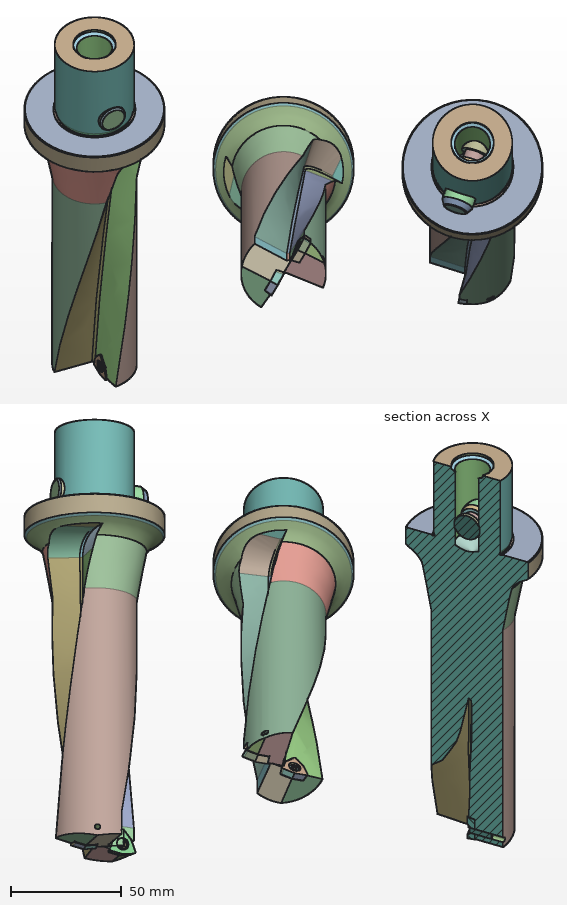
import cadquery as cq
import math


shank_radius = 18.0
shank_height = 40.0
undercut_radius = 17.5
undercut_height = 1.5
face_groove_radius = 18.5
face_groove_depth = 0.5

flange_radius = 31.8
flange_edge_z = -9.2
flange_top_chamfer = 0.5
flange_bottom_chamfer = 1.0
throat_radius = 23.5
throat_z = -17.0
throat_arc_radius = 26.2
throat_arc_z = -13.5
drill_radius = 19.2
cone_end_z = -40.8
tip_z = -160.0

bore_radius = 8.0
bore_mouth_radius = 9.5
bore_mouth_depth = 1.2
bore_mouth_cone_depth = 1.0
bore_depth = 42.0
bore_point_half_angle = 59.0

pin_axis_z = 9.2
pin_joint_x = -0.5
head_pin_end_x = -24.0
head_pin_radius = 7.2
head_pin_face_radius = 5.0
head_pin_face_chamfer = 0.5
head_pin_outer_chamfer_length = 3.0
head_pin_inner_chamfer_length = 2.2
head_pin_inner_radius = 6.5
tip_pin_end_x = 19.2
tip_pin_radius = 6.5
tip_pin_chamfer = 0.8
tip_pin_neck_radius = 4.7
tip_pin_shoulder_x = 3.8

insert_inscribed_radius = 4.8
insert_thickness = 3.8
insert_corner_radius = 0.8
insert_clearance_angle = 7.0
insert_corner_distance = insert_inscribed_radius / math.sin(math.radians(40))
insert_flat_distance = insert_inscribed_radius / math.sin(math.radians(80))
insert_axis_z = tip_z + insert_flat_distance
inner_insert_x = 5.5
outer_insert_x = -13.5

insert_hole_mouth_radius = 2.8
screw_head_radius = 2.2
screw_head_recess = 0.5
screw_head_length = 1.2
screw_radius = 1.2
screw_length = 12.5
screw_socket_width = 2.5
screw_socket_depth = 0.5

end_relief = 0.8
end_slope = math.tan(math.radians(10))

twist_top_z = -22.5
flute_top_z = -12.5
flute_runout_width = 14.0
flute_corner_chamfer = 1.0
twist_stations = 5
runout_step = 15
inner_flute = {
    "wall": (261, 364),
    "floor": (362, 424),
    "corner": (356, 395),
    "depth": (-0.8, 10.0),
    "twist_bottom_z": tip_z,
}
outer_flute = {
    "wall": (109, 191),
    "floor": (181, 241),
    "corner": (175, 215),
    "depth": (6.0, 10.0),
    "twist_bottom_z": -146.8,
}

insert_seats = ((inner_insert_x, 1), (outer_insert_x, -1))

clear = 2.0
outside = 40.0


def polar(radius, degrees):
    return cq.Vector(radius * math.cos(math.radians(degrees)), radius * math.sin(math.radians(degrees)))


def blend(ends, t):
    return ends[0] + (ends[1] - ends[0]) * t


def flute_section(flute, t, shift=0.0):
    """V-shaped flute outline at fraction t of the twist, its wall moved along the floor by shift."""
    corner = polar(blend(flute["depth"], t), blend(flute["corner"], t))
    wall = (polar(drill_radius, blend(flute["wall"], t)) - corner).normalized()
    floor = (polar(drill_radius, blend(flute["floor"], t)) - corner).normalized()
    moved = corner + floor * shift
    return [
        moved + wall * flute_corner_chamfer,
        moved + wall * outside,
        moved + (wall + floor).normalized() * outside * 1.5,
        moved + floor * outside,
        moved + floor * flute_corner_chamfer,
    ]


def section_wire(points, z):
    return cq.Wire.makePolygon([cq.Vector(p.x, p.y, z) for p in points], close=True)


def flute_cutter(flute):
    bottom = flute_section(flute, 0)
    twist_bottom_z = flute["twist_bottom_z"]
    straight = cq.Solid.extrudeLinear(
        section_wire(bottom, tip_z - clear), [], cq.Vector(0, 0, twist_bottom_z - tip_z + clear)
    )
    twist_wires = []
    for station in range(twist_stations):
        t = station / (twist_stations - 1)
        twist_wires.append(section_wire(flute_section(flute, t), blend((twist_bottom_z, twist_top_z), t)))
    twisted = cq.Solid.makeLoft(twist_wires)

    runout_wires = []
    for degrees in range(0, 91, runout_step):
        turn = math.radians(degrees)
        z = blend((twist_top_z, flute_top_z), math.sin(turn))
        t = (z - twist_bottom_z) / (twist_top_z - twist_bottom_z)
        shift = flute_runout_width * (1 - math.cos(turn))
        runout_wires.append(section_wire(flute_section(flute, t, shift), z))
    runout = cq.Solid.makeLoft(runout_wires)
    return [straight, twisted, runout]


def drill_blank():
    chamfer_z = flange_edge_z - flange_bottom_chamfer
    return (
        cq.Workplane("XZ")
        .moveTo(0, shank_height)
        .lineTo(shank_radius, shank_height)
        .lineTo(shank_radius, undercut_height)
        .lineTo(undercut_radius, -face_groove_depth)
        .lineTo(face_groove_radius, -face_groove_depth)
        .lineTo(face_groove_radius, 0)
        .lineTo(flange_radius - flange_top_chamfer, 0)
        .lineTo(flange_radius, -flange_top_chamfer)
        .lineTo(flange_radius, flange_edge_z)
        .lineTo(flange_radius - flange_bottom_chamfer, chamfer_z)
        .threePointArc((throat_arc_radius, throat_arc_z), (throat_radius, throat_z))
        .lineTo(drill_radius, cone_end_z)
        .lineTo(drill_radius, tip_z)
        .lineTo(0, tip_z)
        .close()
        .revolve(360, (0, 0), (0, 1))
    )


def bore_cutter():
    mouth_end_z = shank_height - bore_mouth_depth
    bore_end_z = shank_height - bore_depth
    point_z = bore_end_z - bore_radius / math.tan(math.radians(bore_point_half_angle))
    return (
        cq.Workplane("XZ")
        .moveTo(0, shank_height)
        .lineTo(bore_mouth_radius, shank_height)
        .lineTo(bore_mouth_radius, mouth_end_z)
        .lineTo(bore_radius, mouth_end_z - bore_mouth_cone_depth)
        .lineTo(bore_radius, bore_end_z)
        .lineTo(0, point_z)
        .close()
        .revolve(360, (0, 0), (0, 1))
    )


def pin_hole(radius, end_x):
    return (
        cq.Workplane("YZ", origin=(pin_joint_x, 0, 0))
        .center(0, pin_axis_z)
        .circle(radius)
        .extrude(end_x - pin_joint_x)
    )


def end_cutter(insert_x, side):
    """Material below a shallow V under the insert, on the +Y (side 1) or -Y (side -1) half."""
    apex_z = tip_z + end_relief
    return (
        cq.Workplane("XZ")
        .moveTo(insert_x, apex_z)
        .lineTo(insert_x + outside, apex_z + outside * end_slope)
        .lineTo(insert_x + outside, tip_z - clear)
        .lineTo(insert_x - outside, tip_z - clear)
        .lineTo(insert_x - outside, apex_z + outside * end_slope)
        .close()
        .extrude(-side * outside)
    )


def insert_plane(insert_x, side):
    """Plane of a cutting face: +Z points into the insert and +Y toward the drill tip."""
    return cq.Plane(origin=(insert_x, 0, insert_axis_z), xDir=(side, 0, 0), normal=(0, side, 0))


def is_insert_nose(edge):
    center = edge.Center()
    runs_through_thickness = abs(edge.startPoint().z - edge.endPoint().z) > insert_thickness / 2
    return runs_through_thickness and math.hypot(center.x, center.y) > insert_flat_distance


def insert_blank():
    """Trigon insert without its hole, cutting face at z = 0 and a blunt corner on +Y."""
    corners = []
    for index in range(6):
        distance = insert_corner_distance if index % 2 else insert_flat_distance
        corner = polar(distance, 90 + 60 * index)
        corners.append((corner.x, corner.y))
    return (
        cq.Workplane("XY")
        .polyline(corners)
        .close()
        .extrude(insert_thickness, taper=insert_clearance_angle)
        .edges()
        .filter(is_insert_nose)
        .fillet(insert_corner_radius)
    )


def screw_blank(length):
    """Countersunk screw along +Z without its socket, from its recessed head to z = length."""
    return (
        cq.Workplane("XZ")
        .moveTo(0, screw_head_recess)
        .lineTo(screw_head_radius, screw_head_recess)
        .lineTo(screw_radius, screw_head_recess + screw_head_length)
        .lineTo(screw_radius, length)
        .lineTo(0, length)
        .close()
        .revolve(360, (0, 0), (0, 1))
    )


def screw_hole():
    """Room for the screw, out to the far surface of the drill, with a conical mouth above its head."""
    mouth = cq.Solid.makeCone(insert_hole_mouth_radius, screw_head_radius, screw_head_recess)
    return screw_blank(drill_radius + clear).union(cq.Workplane(mouth))


def insert():
    return insert_blank().cut(screw_hole())


def insert_screw():
    socket = (
        cq.Workplane("XY", origin=(0, 0, screw_head_recess))
        .polygon(6, screw_socket_width, circumscribed=True)
        .extrude(screw_socket_depth)
    )
    return screw_blank(screw_length).cut(socket)


def pin_from_profile(points):
    """Pin along X, turned from (x, radius) points about the pin axis."""
    return cq.Workplane("XY").polyline(points).close().revolve(360, (0, 0), (1, 0)).translate((0, 0, pin_axis_z))


def head_pin():
    return pin_from_profile(
        [
            (head_pin_end_x, 0),
            (head_pin_end_x, head_pin_face_radius),
            (head_pin_end_x + head_pin_face_chamfer / 2, head_pin_face_radius + head_pin_face_chamfer),
            (head_pin_end_x + head_pin_outer_chamfer_length, head_pin_radius),
            (pin_joint_x - head_pin_inner_chamfer_length, head_pin_radius),
            (pin_joint_x, head_pin_inner_radius),
            (pin_joint_x, 0),
        ]
    )


def tip_pin():
    return pin_from_profile(
        [
            (pin_joint_x, 0),
            (pin_joint_x, tip_pin_neck_radius),
            (tip_pin_shoulder_x, tip_pin_neck_radius),
            (tip_pin_shoulder_x, tip_pin_radius),
            (tip_pin_end_x - tip_pin_chamfer, tip_pin_radius),
            (tip_pin_end_x, tip_pin_radius - tip_pin_chamfer),
            (tip_pin_end_x, 0),
        ]
    )


def outer_seat_opening():
    """Straight opening of the outer insert's seat through the side of the drill, above its cutting corner."""
    vertex_offset = insert_flat_distance * math.cos(math.radians(30))
    opening_top_z = insert_axis_z + insert_flat_distance / 2
    return cq.Workplane("XY").box(outside, insert_thickness, opening_top_z - tip_z, centered=False).translate(
        (outer_insert_x - vertex_offset - outside, -insert_thickness, tip_z)
    )


def drill_body():
    body = drill_blank().cut(bore_cutter())
    body = body.cut(pin_hole(head_pin_radius, -outside)).cut(pin_hole(tip_pin_radius, outside))
    for flute in (inner_flute, outer_flute):
        for cutter in flute_cutter(flute):
            body = body.cut(cq.Workplane(cutter))
    body = body.cut(outer_seat_opening())
    for insert_x, side in insert_seats:
        location = cq.Location(insert_plane(insert_x, side))
        body = body.cut(end_cutter(insert_x, side))
        body = body.cut(cq.Workplane(insert_blank().val().moved(location)))
        body = body.cut(cq.Workplane(screw_hole().val().moved(location)))
    return body


bodies = [drill_body().val(), head_pin().val(), tip_pin().val()]
for seat_x, seat_side in insert_seats:
    seat = cq.Location(insert_plane(seat_x, seat_side))
    bodies.append(insert().val().moved(seat))
    bodies.append(insert_screw().val().moved(seat))

result = cq.Compound.makeCompound(bodies)